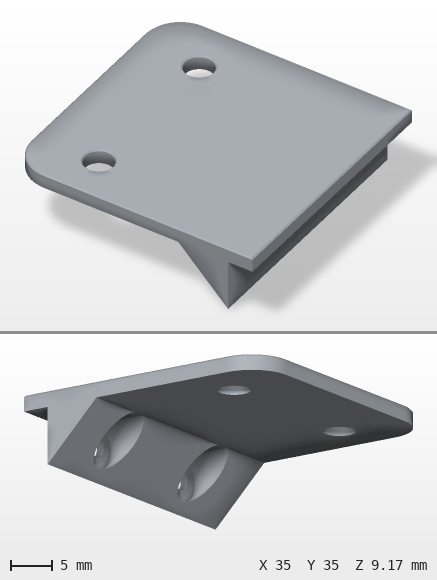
import cadquery as cq

plate_side = 35.0
plate_thickness = 2.0
corner_radius = 5.0
edge_chamfer = 0.2

plate_hole_diameter = 4.0
plate_hole_x = 9.0
plate_hole_spacing = 22.0
plate_hole_offset_y = -0.5

rib_drop = 7.17
rib_back_x = 31.5
rib_front_x = rib_back_x - rib_drop

screw_diameter = 3.0
counterbore_diameter = 6.0
screw_spacing = 17.5
screw_z = -4.9
screw_seat_thickness = 1.0


def make_plate():
    """Square plate with two rounded corners, two holes and a chamfered top rim."""
    hole_centers = [
        (plate_hole_x, plate_hole_offset_y + side * plate_hole_spacing / 2) for side in (-1, 1)
    ]
    return (
        cq.Workplane("XY")
        .box(plate_side, plate_side, plate_thickness, centered=(False, True, False))
        .translate((0, 0, -plate_thickness))
        .edges("|Z and <X")
        .fillet(corner_radius)
        .faces(">Z")
        .workplane(origin=(0, 0, 0))
        .pushPoints(hole_centers)
        .hole(plate_hole_diameter)
        .faces(">Z")
        .edges()
        .chamfer(edge_chamfer)
    )


def make_rib():
    """Triangular prism running the full width of the plate."""
    return (
        cq.Workplane("XZ")
        .moveTo(rib_front_x, -plate_thickness)
        .lineTo(rib_back_x, -plate_thickness)
        .lineTo(rib_back_x, -plate_thickness - rib_drop)
        .close()
        .extrude(plate_side / 2, both=True)
    )


def rib_cylinders(diameter, end_x):
    """Pair of cylinders along X, from the front of the rib to end_x."""
    half_spacing = screw_spacing / 2
    return (
        cq.Workplane("YZ", origin=(rib_front_x, 0, 0))
        .pushPoints([(-half_spacing, screw_z), (half_spacing, screw_z)])
        .circle(diameter / 2)
        .extrude(end_x - rib_front_x)
    )


rib = make_rib()
rib = rib.cut(rib_cylinders(screw_diameter, rib_back_x))
rib = rib.cut(rib_cylinders(counterbore_diameter, rib_back_x - screw_seat_thickness))

result = make_plate().union(rib)